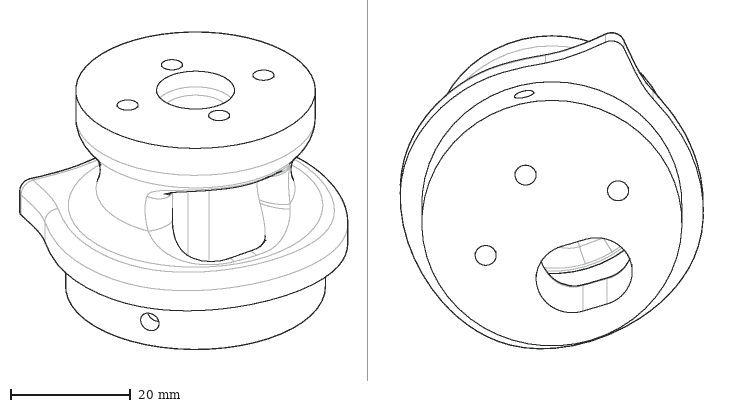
import cadquery as cq
import math

base_top = 9.4
flange_top = 15.5
throat_height = 22.3
total_height = 37.5

base_radius = 21.75
head_radius = 20.05
throat_radius = 15.95
throat_arc = 10.0
head_round = 4.45
cove_arc = 5.0

flange_half_x = 25.85
flange_half_y = 25.6
flange_diagonal = 24.9
flange_round = 2.25
nose_round = 2.3
nose_center = (-28.4, -1.4)
nose_upper_angle = 136
nose_lower_angle = 228
root_upper = (-23.55, 8.6)
root_upper_heading = 242
root_lower = (-23.0, -10.4)
root_lower_heading = 301

recess_diameter = 13.0
recess_depth = 4.0
recess_floor_round = 1.0
screw_diameter = 3.5
screw_circle_outer = 12.45
screw_circle_inner = 9.55
screw_angles_outer = (45, 225)
screw_angles_inner = (135, 315)

pin_diameter = 3.3
pin_height = 4.5
pin_depth = 3.4
pin_angles = (30, 150, 270)

passage_angle = -35
passage_radius = 6.0
passage_offset = 10.4
passage_start = 0.3
passage_length = 4.25
passage_ceiling = 27.75
passage_ceiling_round = 3.0
mouth_round = 3.0


def polar(radius, degrees, center=(0, 0)):
    angle = math.radians(degrees)
    return (center[0] + radius * math.cos(angle), center[1] + radius * math.sin(angle))


def step(start, end, distance):
    """Point at a distance from start on the line through end."""
    ratio = distance / math.dist(start, end)
    return tuple(s + (e - s) * ratio for s, e in zip(start, end))


def direction(start, end):
    """Angle of the line from start to end, from 0 to 360 degrees."""
    return math.degrees(math.atan2(end[1] - start[1], end[0] - start[0])) % 360


def make_spool():
    """Turned body: base, flange-to-throat cove, throat and head, all arcs tangent."""
    throat_center = (throat_radius + throat_arc, throat_height)
    head_x = head_radius - head_round
    head_rise = math.sqrt((throat_arc + head_round) ** 2 - (throat_center[0] - head_x) ** 2)
    head_center = (head_x, throat_height + head_rise)
    cove_z = flange_top + cove_arc
    cove_run = math.sqrt((throat_arc - cove_arc) ** 2 - (throat_height - cove_z) ** 2)
    cove_center = (throat_center[0] - cove_run, cove_z)

    head_joint = step(throat_center, head_center, throat_arc)
    cove_joint = step(throat_center, cove_center, throat_arc)
    cove_middle = polar(cove_arc, (direction(cove_center, cove_joint) + 270) / 2, cove_center)
    head_middle = polar(head_round, (direction(head_center, head_joint) + 360) / 2, head_center)

    return (
        cq.Workplane("XZ")
        .lineTo(base_radius, 0)
        .lineTo(base_radius, base_top)
        .lineTo(cove_center[0], base_top)
        .lineTo(cove_center[0], flange_top)
        .threePointArc(cove_middle, cove_joint)
        .threePointArc((throat_radius, throat_height), head_joint)
        .threePointArc(head_middle, (head_radius, head_center[1]))
        .lineTo(head_radius, total_height)
        .lineTo(0, total_height)
        .close()
        .revolve(360, (0, 0, 0), (0, 1, 0))
    )


def add_curve(outline, points, start_heading, end_heading):
    """Continue the outline smoothly through the points, with the given end headings."""
    headings = [polar(1, start_heading), polar(1, end_heading)]
    return outline.spline(points, includeCurrent=True, tangents=headings, scale=False)


def make_flange():
    nose_upper = polar(nose_round, nose_upper_angle, nose_center)
    nose_lower = polar(nose_round, nose_lower_angle, nose_center)
    nose_tip = polar(nose_round, (nose_upper_angle + nose_lower_angle) / 2, nose_center)
    rim = [
        polar(flange_diagonal, 225),
        (0, -flange_half_y),
        polar(flange_diagonal, 315),
        (flange_half_x, 0),
        polar(flange_diagonal, 45),
        (0, flange_half_y),
        polar(flange_diagonal, 135),
    ]

    outline = cq.Workplane("XY", origin=(0, 0, base_top)).moveTo(*nose_lower)
    outline = add_curve(outline, [root_lower], nose_lower_angle + 90, root_lower_heading)
    outline = add_curve(outline, [*rim, root_upper], root_lower_heading, root_upper_heading)
    outline = add_curve(outline, [nose_upper], root_upper_heading, nose_upper_angle + 90)
    outline = outline.threePointArc(nose_tip, nose_lower).close()
    return outline.extrude(flange_top - base_top).faces(">Z").edges().fillet(flange_round)


def make_passage():
    side = passage_angle - 90
    center = polar(passage_start + passage_length / 2, side, polar(passage_offset, passage_angle))
    return (
        cq.Workplane("XY")
        .center(*center)
        .slot2D(passage_length + 2 * passage_radius, 2 * passage_radius, side)
        .extrude(passage_ceiling)
        .faces(">Z").edges().fillet(passage_ceiling_round)
    )


def is_mouth_edge(edge):
    """The mouth is where the passage breaks through the curved throat."""
    box = edge.BoundingBox()
    above_flange = box.zmin > flange_top
    below_head = box.zmax < passage_ceiling
    return above_flange and below_head and edge.geomType() == "BSPLINE"


def cut_passage(body):
    pierced = body.cut(make_passage())
    mouth = [edge for edge in pierced.edges().vals() if is_mouth_edge(edge)]
    return pierced.newObject(mouth).fillet(mouth_round)


def make_recess():
    return (
        cq.Workplane("XY", origin=(0, 0, total_height - recess_depth))
        .circle(recess_diameter / 2)
        .extrude(recess_depth)
        .faces("<Z").edges().fillet(recess_floor_round)
    )


def make_screw_holes():
    outer = [polar(screw_circle_outer, angle) for angle in screw_angles_outer]
    inner = [polar(screw_circle_inner, angle) for angle in screw_angles_inner]
    centers = outer + inner
    return cq.Workplane("XY").pushPoints(centers).circle(screw_diameter / 2).extrude(total_height)


def make_pin_hole(angle):
    return (
        cq.Workplane("YZ", origin=(base_radius - pin_depth, 0, pin_height))
        .circle(pin_diameter / 2)
        .extrude(2 * pin_depth)
        .rotate((0, 0, 0), (0, 0, 1), angle)
    )


result = make_spool().union(make_flange())
result = cut_passage(result)
result = result.cut(make_recess()).cut(make_screw_holes())
for pin_angle in pin_angles:
    result = result.cut(make_pin_hole(pin_angle))